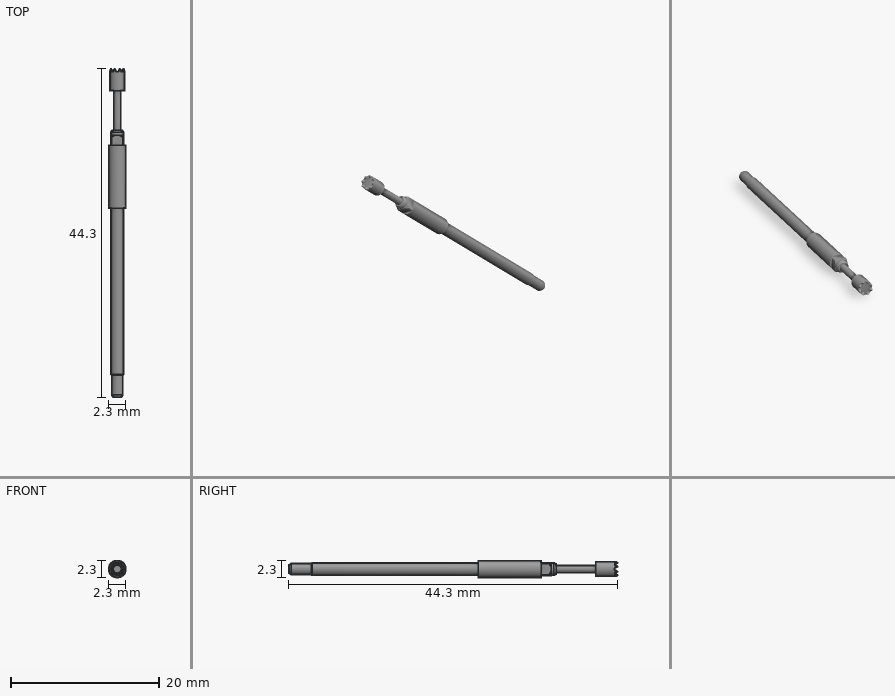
import cadquery as cq


HEAD_DIA = 2.0
HEAD_LENGTH = 2.95
PLUNGER_DIA = 1.0
TIP_Y = 10.3
OVERALL_LENGTH = 44.3

TOOTH_COUNT = 8
TOOTH_HEIGHT = 0.4
TOOTH_BASE_RADIUS = 0.25
TOOTH_RING_RADIUS = 0.9

BARREL_DIA = 1.7
BARREL_FRONT_Y = 2.0
BARREL_REAR_Y = -31.0
LIP_DIA = 1.4
LIP_LENGTH = 0.3
BARREL_REAR_CHAMFER = 0.12

SLEEVE_DIA = 2.3
SLEEVE_LENGTH = 8.5
SQUARE_WIDTH = 1.75
SQUARE_LENGTH = 1.35
SQUARE_BEVEL_LENGTH = 0.3
SQUARE_BEVEL_DIA = 1.85

TAIL_DIA = 1.5
TAIL_END_Y = TIP_Y - OVERALL_LENGTH
TAIL_BEVEL_LENGTH = 0.35
TAIL_BEVEL_DEPTH = 0.2


def turned(points):
    """Revolve (radius, y) points, closed along the axis, about the Y axis."""
    first_y = points[0][1]
    last_y = points[-1][1]
    outline = [(0, first_y)] + points + [(0, last_y)]
    return cq.Workplane("XY").polyline(outline).close().revolve(360, (0, 0, 0), (0, 1, 0))


def crown_head():
    """Head cylinder with a ring of conical teeth, trimmed flush with the head's side."""
    radius = HEAD_DIA / 2
    face_y = TIP_Y - TOOTH_HEIGHT
    rear_y = TIP_Y - HEAD_LENGTH
    envelope = turned([(radius, rear_y), (radius, TIP_Y)])
    head = turned([(radius, rear_y), (radius, face_y)])
    cone = cq.Solid.makeCone(
        TOOTH_BASE_RADIUS,
        0,
        TOOTH_HEIGHT,
        cq.Vector(TOOTH_RING_RADIUS, face_y, 0),
        cq.Vector(0, 1, 0),
    )
    tooth = envelope.intersect(cq.Workplane(cone))
    step_angle = 360 / TOOTH_COUNT
    for index in range(TOOTH_COUNT):
        angle = step_angle / 2 + index * step_angle
        head = head.union(tooth.rotate((0, 0, 0), (0, 1, 0), angle))
    return head


def plunger_rod():
    """Thin rod from inside the barrel to the head."""
    radius = PLUNGER_DIA / 2
    return turned([(radius, 0), (radius, TIP_Y - HEAD_LENGTH)])


def barrel():
    """Long tube body, tapered at the front lip and chamfered at the rear."""
    radius = BARREL_DIA / 2
    return turned([
        (radius - BARREL_REAR_CHAMFER, BARREL_REAR_Y),
        (radius, BARREL_REAR_Y + BARREL_REAR_CHAMFER),
        (radius, BARREL_FRONT_Y - LIP_LENGTH),
        (LIP_DIA / 2, BARREL_FRONT_Y),
    ])


def sleeve():
    """Round press-fit sleeve behind the shoulder."""
    radius = SLEEVE_DIA / 2
    return turned([(radius, -SLEEVE_LENGTH), (radius, 0)])


def square_drive():
    """Square with corners rounded to the sleeve diameter and bevelled by a cone in front."""
    radius = SLEEVE_DIA / 2
    envelope = turned([
        (radius, 0),
        (radius, SQUARE_LENGTH - SQUARE_BEVEL_LENGTH),
        (SQUARE_BEVEL_DIA / 2, SQUARE_LENGTH),
    ])
    square = cq.Workplane("XY").box(SQUARE_WIDTH, 2 * SQUARE_LENGTH, SQUARE_WIDTH)
    return envelope.intersect(square)


def tail_pin():
    """Rear pin with a bevelled end."""
    radius = TAIL_DIA / 2
    return turned([
        (radius - TAIL_BEVEL_DEPTH, TAIL_END_Y),
        (radius, TAIL_END_Y + TAIL_BEVEL_LENGTH),
        (radius, BARREL_REAR_Y),
    ])


result = barrel()
for section in (tail_pin(), sleeve(), square_drive(), plunger_rod(), crown_head()):
    result = result.union(section)